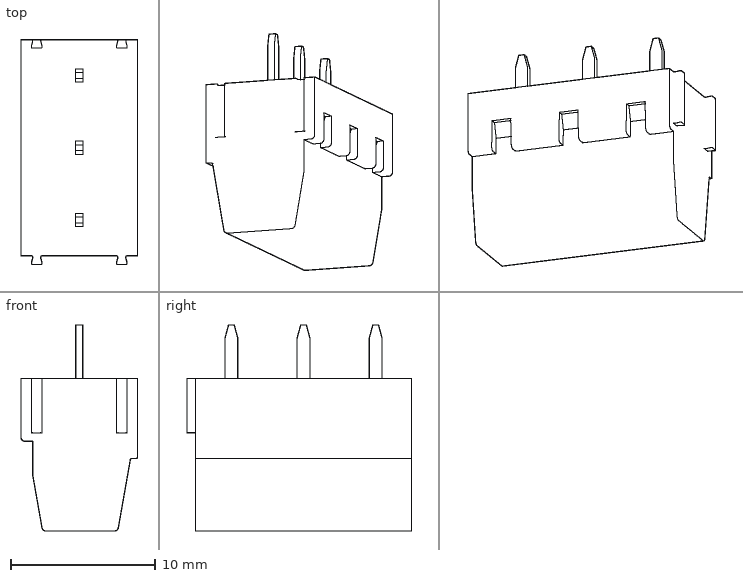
import cadquery as cq
import math


pole_count = 3
total_length = 15.6
rail_height = 0.6
body_length = total_length - rail_height
pitch = body_length / pole_count
body_width = 8.1
body_height = 10.6
half_width = body_width / 2
half_length = body_length / 2

taper_slope = math.tan(math.radians(10.0))
left_step_width = 0.81
left_step_height = body_height - 4.37
left_taper_height = 3.9
right_step_width = 0.48
right_step_height = body_height - 5.55
bottom_radius = 0.3
left_step_radius = 0.3
right_step_radius = 0.1

window_top_width = 1.37
window_bottom_width = 1.47
window_top = body_height - 2.22
window_slope_height = 1.03
window_slope_depth = 0.37

rail_offset = 2.95
rail_length = 3.78
rail_root_width = 0.5
rail_tip_width = 0.81
rail_radius = 0.1

pin_height = 3.71
pin_thickness = 0.5
pin_width = 0.9
pin_tip_width = 0.4
pin_tip_height = 0.92

pole_positions = [(i - (pole_count - 1) / 2) * pitch for i in range(pole_count)]
left_wall = left_step_width - half_width
right_wall = half_width - right_step_width


def make_housing():
    """Cross-section in XZ extruded along Y, with its lengthwise edges rounded."""
    bottom_left = left_wall + left_taper_height * taper_slope
    bottom_right = right_wall - right_step_height * taper_slope
    housing = (
        cq.Workplane("XZ", origin=(0, half_length, 0))
        .polyline([
            (bottom_left, 0),
            (bottom_right, 0),
            (right_wall, right_step_height),
            (half_width, right_step_height),
            (half_width, body_height),
            (-half_width, body_height),
            (-half_width, left_step_height),
            (left_wall, left_step_height),
            (left_wall, left_taper_height),
        ])
        .close()
        .extrude(body_length)
    )

    def lengthwise_edge(x, z):
        return cq.selectors.NearestToPointSelector((x, 0, z))

    rounded_edges = [
        (bottom_left, 0, bottom_radius),
        (bottom_right, 0, bottom_radius),
        (-half_width, left_step_height, left_step_radius),
        (half_width, right_step_height, right_step_radius),
        (right_wall, right_step_height, right_step_radius),
    ]
    for x, z, radius in rounded_edges:
        housing = housing.edges("|Y").edges(lengthwise_edge(x, z)).fillet(radius)
    return housing


def make_window(y):
    """Window down to the left wall: slope under its flat roof, sides widening downwards."""
    profile = (
        cq.Workplane("XZ", origin=(0, y + window_bottom_width / 2, 0))
        .polyline([
            (-half_width, window_top),
            (left_wall - window_slope_depth, window_top),
            (left_wall, window_top - window_slope_height),
            (left_wall, left_step_height),
            (-half_width, left_step_height),
        ])
        .close()
        .extrude(window_bottom_width)
    )
    sides = (
        cq.Workplane("YZ", origin=(-half_width, y, 0))
        .polyline([
            (-window_bottom_width / 2, left_step_height),
            (window_bottom_width / 2, left_step_height),
            (window_top_width / 2, window_top),
            (-window_top_width / 2, window_top),
        ])
        .close()
        .extrude(left_step_width)
    )
    return profile.intersect(sides)


def make_rail(x, end_y):
    """Dovetail growing in -Y from the plane y = end_y, flush with the top face."""
    root = rail_root_width / 2
    tip = rail_tip_width / 2
    strip = rail_tip_width
    rail = (
        cq.Workplane("XY", origin=(x, end_y, body_height))
        .polyline([
            (-strip, strip),
            (-strip, 0),
            (-root, 0),
            (-tip, -rail_height),
            (tip, -rail_height),
            (root, 0),
            (strip, 0),
            (strip, strip),
        ])
        .close()
        .extrude(-rail_length)
    )
    mid_z = body_height - rail_length / 2
    for side in (-1, 1):
        for half_side, depth in ((root, 0), (tip, rail_height)):
            corner = (x + side * half_side, end_y - depth, mid_z)
            corner_edge = cq.selectors.NearestToPointSelector(corner)
            rail = rail.edges("|Z").edges(corner_edge).fillet(rail_radius)
    backing = cq.Workplane("XY", origin=(x, end_y + strip / 2, mid_z)).box(2 * strip, strip, rail_length)
    return rail.cut(backing)


def make_pin(y):
    """Flat pin with a tip narrowed in Y."""
    shoulder = body_height + pin_height - pin_tip_height
    return (
        cq.Workplane("YZ", origin=(-pin_thickness / 2, y, 0))
        .polyline([
            (-pin_width / 2, body_height),
            (pin_width / 2, body_height),
            (pin_width / 2, shoulder),
            (pin_tip_width / 2, body_height + pin_height),
            (-pin_tip_width / 2, body_height + pin_height),
            (-pin_width / 2, shoulder),
        ])
        .close()
        .extrude(pin_thickness)
    )


result = make_housing()
for pole_y in pole_positions:
    result = result.cut(make_window(pole_y)).union(make_pin(pole_y))
for rail_x in (-rail_offset, rail_offset):
    result = result.cut(make_rail(rail_x, half_length))
    result = result.union(make_rail(rail_x, -half_length))